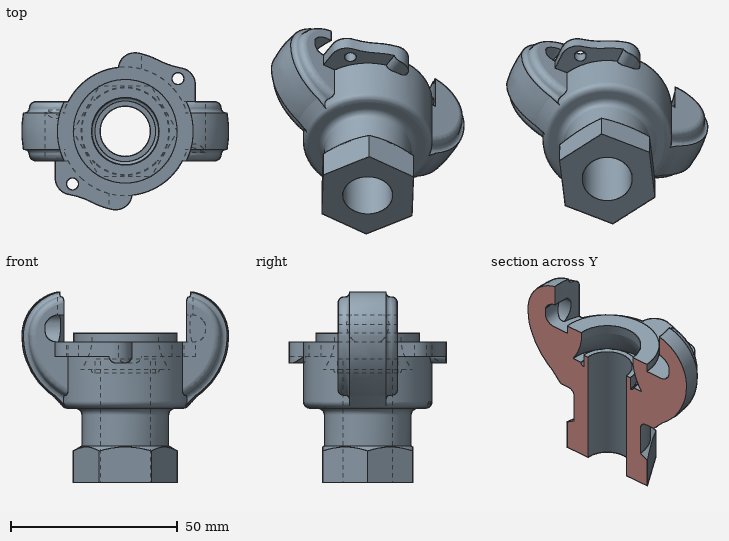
import cadquery as cq
import math

overall_height = 57.0
overall_width_x = 61.9
overall_depth_y = 47.0

hex_sides = 6
hex_across_flats = 27.0
hex_height = 10.95
hex_chamfer_angle = 30.0
neck_diameter = 26.0
body_diameter = 38.5
body_bottom_z = 22.2
body_top_z = 42.1
edge_fillet = 2.0
ring_diameter = 31.0
ring_top_z = 44.7

bore_diameter = 14.95
mouth_diameter = 20.0
seat_radius = 9.07
seat_z = 36.9
flare_diameter = 34.0
chamber_bottom_radius = 13.2
trench_bottom_z = 32.7
trench_radius = 1.1
mouth_depth = 3.0

arm_width = 17.78
rib_width = 11.0
rib_height = 1.42
claw_inner_radius = 20.3
claw_upper_radius = 13.35
claw_lower_radius = 22.0
arm_outer_fillet = 2.0
rib_root_fillet = 1.25
rib_foot_top_z = 25.9
rib_foot_bottom_radius = 18.7
rib_foot_bottom_z = 22.85
lower_arc_end_radius = 14.0
arm_root_x = 16.8

pocket_outer_x = 23.95
pocket_height = 8.05
pocket_upper_radius = 4.5
pocket_ceiling_x = 20.15
pocket_lower_radius = 3.2
pocket_end_y = 6.3
pocket_end_flat = 0.4
pocket_end_upper_radius = 3.05
pocket_end_upper_height = 2.5
pocket_ceiling_end_y = 4.9
pocket_end_lower_radius = 6.4
pocket_floor_end_y = 3.8

lug_thickness = 4.4
lug_side_x = 20.97
lug_tip_radius = 5.0
lug_tip_center_x = 2.9
lug_tip_end_x = 3.87
lug_crest_end = (9.84, 21.3)
lug_valley_end = (16.77, 18.94)
lug_side_top_y = 14.0
pin_hole_diameter = 3.5
pin_hole_center = (15.77, 15.75)
tooth_bottom_z = 35.7
tooth_left_x = -2.1
tooth_right_x = 4.95
tooth_fillet = 2.4

overlap = 1.0
tolerance = 0.05

body_radius = body_diameter / 2
outer_radius = overall_width_x / 2
upper_center_r = outer_radius - claw_upper_radius
lower_center_r = outer_radius - claw_lower_radius
claw_tip_rise = math.sqrt(claw_upper_radius**2 - (claw_inner_radius - upper_center_r) ** 2)
claw_center_z = overall_height - claw_tip_rise


def centered_box(x_range, width_y, z_range):
    """Box between two X values and two Z values, centred on Y = 0."""
    length = x_range[1] - x_range[0]
    height = z_range[1] - z_range[0]
    box = cq.Workplane("XY").box(length, width_y, height, centered=(False, True, False))
    return box.translate((x_range[0], 0, z_range[0]))


def with_opposite(shape):
    """The shape together with its copy turned half a turn about Z."""
    return shape.union(shape.rotate((0, 0, 0), (0, 0, 1), 180))


def make_hexagon():
    """Wrench hexagon with its upper corners chamfered down from the neck."""
    corner_radius = hex_across_flats / 2 / math.cos(math.radians(180 / hex_sides))
    chamfer_rise = (corner_radius - neck_diameter / 2) * math.tan(math.radians(hex_chamfer_angle))
    prism = cq.Workplane("XY").polygon(hex_sides, 2 * corner_radius).extrude(hex_height)
    chamfer_envelope = (
        cq.Workplane("XZ")
        .moveTo(0, 0)
        .lineTo(corner_radius, 0)
        .lineTo(corner_radius, hex_height - chamfer_rise)
        .lineTo(neck_diameter / 2, hex_height)
        .lineTo(0, hex_height)
        .close()
        .revolve(360, (0, 0), (0, 1))
    )
    return prism.intersect(chamfer_envelope)


def make_turned_body():
    """Neck, body with filleted bottom edge and raised face ring."""
    neck_radius = neck_diameter / 2
    return (
        cq.Workplane("XZ")
        .moveTo(0, 0)
        .lineTo(neck_radius, 0)
        .lineTo(neck_radius, body_bottom_z - edge_fillet)
        .radiusArc((neck_radius + edge_fillet, body_bottom_z), edge_fillet)
        .lineTo(body_radius - edge_fillet, body_bottom_z)
        .radiusArc((body_radius, body_bottom_z + edge_fillet), -edge_fillet)
        .lineTo(body_radius, body_top_z)
        .lineTo(ring_diameter / 2, body_top_z)
        .lineTo(ring_diameter / 2, ring_top_z)
        .lineTo(0, ring_top_z)
        .close()
        .revolve(360, (0, 0), (0, 1))
    )


def make_bore():
    """Through bore and mouth, with a seal chamber between them that flares outward below the mouth."""
    mouth_radius = mouth_diameter / 2
    mouth_bottom_z = ring_top_z - mouth_depth
    trench_corner_r = seat_radius + trench_radius
    shelf_z = trench_bottom_z + trench_radius
    return (
        cq.Workplane("XZ")
        .moveTo(0, 0)
        .lineTo(bore_diameter / 2, 0)
        .lineTo(bore_diameter / 2, seat_z)
        .lineTo(seat_radius, seat_z)
        .lineTo(seat_radius, trench_bottom_z)
        .radiusArc((trench_corner_r, shelf_z), -trench_radius)
        .lineTo(chamber_bottom_radius, shelf_z)
        .radiusArc((mouth_radius, mouth_bottom_z), flare_diameter / 2)
        .lineTo(mouth_radius, ring_top_z)
        .lineTo(0, ring_top_z)
        .close()
        .revolve(360, (0, 0), (0, 1))
    )


def claw_outline(inset):
    """Open claw section from the crown down the outside, moved inward by the inset."""
    upper_radius = claw_upper_radius - inset
    diagonal = upper_radius * math.sqrt(0.5)
    return (
        cq.Workplane("XZ")
        .moveTo(0, claw_center_z + upper_radius)
        .lineTo(upper_center_r, claw_center_z + upper_radius)
        .threePointArc(
            (upper_center_r + diagonal, claw_center_z + diagonal),
            (outer_radius - inset, claw_center_z),
        )
    )


def lower_arc_z(radius_from_axis, inset):
    """Height of the claw's lower arc at a distance from the Z axis."""
    arc_radius = claw_lower_radius - inset
    return claw_center_z - math.sqrt(arc_radius**2 - (radius_from_axis - lower_center_r) ** 2)


def make_claw_core():
    """Full-width claw with rounded side edges."""
    end_z = lower_arc_z(lower_arc_end_radius, rib_height)
    revolved = (
        claw_outline(rib_height)
        .radiusArc((lower_arc_end_radius, end_z), claw_lower_radius - rib_height)
        .lineTo(0, end_z)
        .close()
        .revolve(360, (0, 0), (0, 1))
    )
    slab = centered_box((arm_root_x, outer_radius), arm_width, (0, overall_height + overlap))
    core = revolved.intersect(slab)
    side_edges = core.faces("<Y or >Y").edges("not(|X or |Z)")
    return side_edges.fillet(arm_outer_fillet)


def make_claw_rib():
    """Raised central rib, running out into a cone on the body's bottom edge."""
    arc_rise = claw_center_z - rib_foot_top_z
    foot_top_radius = lower_center_r + math.sqrt(claw_lower_radius**2 - arc_rise**2)
    revolved = (
        claw_outline(0)
        .radiusArc((foot_top_radius, rib_foot_top_z), claw_lower_radius)
        .lineTo(rib_foot_bottom_radius, rib_foot_bottom_z)
        .lineTo(0, rib_foot_bottom_z)
        .close()
        .revolve(360, (0, 0), (0, 1))
    )
    slab = centered_box((arm_root_x, outer_radius), rib_width, (0, overall_height + overlap))
    return revolved.intersect(slab)


def make_pocket():
    """Catch pocket open at the +Y side of the +X claw, with a curved wall at its far end."""
    top_z = body_top_z + pocket_height
    open_y = arm_width / 2 + overlap
    upper_arc_z = top_z - pocket_end_upper_height
    lower_arc_top_z = upper_arc_z - pocket_end_flat
    side_profile = (
        cq.Workplane("YZ", origin=(arm_root_x, 0, 0))
        .moveTo(open_y, body_top_z)
        .lineTo(-pocket_floor_end_y, body_top_z)
        .radiusArc((-pocket_end_y, lower_arc_top_z), pocket_end_lower_radius)
        .lineTo(-pocket_end_y, upper_arc_z)
        .radiusArc((-pocket_ceiling_end_y, top_z), pocket_end_upper_radius)
        .lineTo(open_y, top_z)
        .close()
        .extrude(pocket_outer_x - arm_root_x)
    )
    wall_profile = (
        cq.Workplane("XZ", origin=(0, open_y, 0))
        .moveTo(arm_root_x, body_top_z)
        .lineTo(pocket_outer_x - pocket_lower_radius, body_top_z)
        .radiusArc((pocket_outer_x, body_top_z + pocket_lower_radius), -pocket_lower_radius)
        .lineTo(pocket_outer_x, lower_arc_top_z)
        .radiusArc((pocket_ceiling_x, top_z), -pocket_upper_radius)
        .lineTo(arm_root_x, top_z)
        .close()
        .extrude(2 * open_y)
    )
    return wall_profile.intersect(side_profile)


def is_rib_root(edge):
    """True for the edges in the rib's side planes that lie on the claw core's surface."""
    box = edge.BoundingBox()
    lies_in_side_plane = abs(abs(edge.Center().y) - rib_width / 2) < tolerance
    root_max_x = math.sqrt((outer_radius - rib_height) ** 2 - (rib_width / 2) ** 2)
    return lies_in_side_plane and abs(box.xmax - root_max_x) < tolerance


def make_claw():
    """Claw at +X, cleared inside for the mating half and cut by its catch pocket."""
    claw = make_claw_core().union(make_claw_rib())
    rib_roots = [edge for edge in claw.edges().vals() if is_rib_root(edge)]
    claw = claw.newObject(rib_roots).fillet(rib_root_fillet)
    clearance = (
        cq.Workplane("XY")
        .workplane(offset=body_top_z)
        .circle(claw_inner_radius)
        .extrude(overall_height)
    )
    return claw.cut(clearance).cut(make_pocket())


def make_lug():
    """Locking lug on the +Y side: plate with a wavy rim, a tooth below it and a pin hole."""
    tip_center_y = overall_depth_y / 2 - lug_tip_radius
    tip_left_x = lug_tip_center_x - lug_tip_radius
    tip_end_y = tip_center_y + math.sqrt(lug_tip_radius**2 - (lug_tip_end_x - lug_tip_center_x) ** 2)
    outline = (
        cq.Workplane("XY")
        .moveTo(tip_left_x, 0)
        .lineTo(tip_left_x, tip_center_y)
        .radiusArc((lug_tip_end_x, tip_end_y), lug_tip_radius)
        .tangentArcPoint(lug_crest_end, relative=False)
        .tangentArcPoint(lug_valley_end, relative=False)
        .tangentArcPoint((lug_side_x, lug_side_top_y), relative=False)
        .lineTo(lug_side_x, 0)
        .close()
    )
    blank = outline.extrude(body_top_z - tooth_bottom_z).translate((0, 0, tooth_bottom_z))
    plate_bottom_z = body_top_z - lug_thickness
    plate_band = centered_box((tip_left_x, lug_side_x), overall_depth_y, (plate_bottom_z, body_top_z))
    tooth_band = centered_box((tooth_left_x, tooth_right_x), overall_depth_y, (tooth_bottom_z, body_top_z))
    tooth_band = tooth_band.edges("|Y and <Z").fillet(tooth_fillet)
    lug = blank.intersect(plate_band.union(tooth_band))
    pin_hole = cq.Workplane("XY").center(*pin_hole_center).circle(pin_hole_diameter / 2)
    pin_hole = pin_hole.extrude(body_top_z)
    return lug.cut(pin_hole)


body = make_turned_body().union(make_hexagon())
body = body.union(with_opposite(make_lug())).union(with_opposite(make_claw()))
result = body.cut(make_bore())